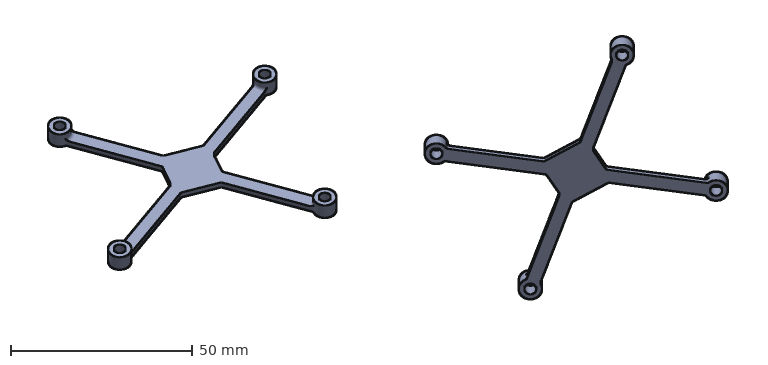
import cadquery as cq
import math

boss_spacing_x = 50.0
boss_spacing_y = 60.0
boss_diameter = 6.5
boss_height = 5.0
hole_diameter = 3.3
plate_side = 15.0
web_thickness = 2.0
arm_width = 4.0
plate_fillet = 1.0
boss_fillet = 1.0

bar_length = math.hypot(boss_spacing_x, boss_spacing_y)
bar_angle = math.degrees(math.atan2(boss_spacing_y, boss_spacing_x))


def box_around(x, y, half_side, z_low, z_high):
    """Selector for edges whose centre lies in a square box around (x, y)."""
    return cq.selectors.BoxSelector(
        (x - half_side, y - half_side, z_low),
        (x + half_side, y + half_side, z_high),
    )


def make_web():
    """Square plate crossed by two diagonal bars, with its inside corners rounded."""
    web = cq.Workplane("XY").rect(plate_side, plate_side).extrude(web_thickness)
    for angle in (bar_angle, -bar_angle):
        bar = cq.Workplane("XY").rect(bar_length, arm_width).extrude(web_thickness)
        web = web.union(bar.rotate((0, 0, 0), (0, 0, 1), angle))
    near_plate = box_around(0, 0, plate_side, 0, web_thickness)
    return web.edges("|Z").edges(near_plate).fillet(plate_fillet)


def boss_pattern(diameter):
    """Full-height cylinders at the four boss centres."""
    return (
        cq.Workplane("XY")
        .rect(boss_spacing_x, boss_spacing_y, forConstruction=True)
        .vertices()
        .circle(diameter / 2)
        .extrude(boss_height)
    )


def blend_arms_into_bosses(body):
    """Round the corners where the top and sides of each arm run into its boss."""
    root_reach = math.sqrt((boss_diameter / 2) ** 2 - (arm_width / 2) ** 2)
    root_scale = 1 - root_reach / (bar_length / 2)
    band_low = web_thickness / 4
    band_high = (web_thickness + boss_height / 2) / 2
    for sign_x in (-1, 1):
        for sign_y in (-1, 1):
            x = sign_x * root_scale * boss_spacing_x / 2
            y = sign_y * root_scale * boss_spacing_y / 2
            near_root = box_around(x, y, arm_width, band_low, band_high)
            body = body.edges(near_root).edges("%CIRCLE or |Z").fillet(boss_fillet)
    return body


web_with_bosses = make_web().union(boss_pattern(boss_diameter))
result = blend_arms_into_bosses(web_with_bosses).cut(boss_pattern(hole_diameter))